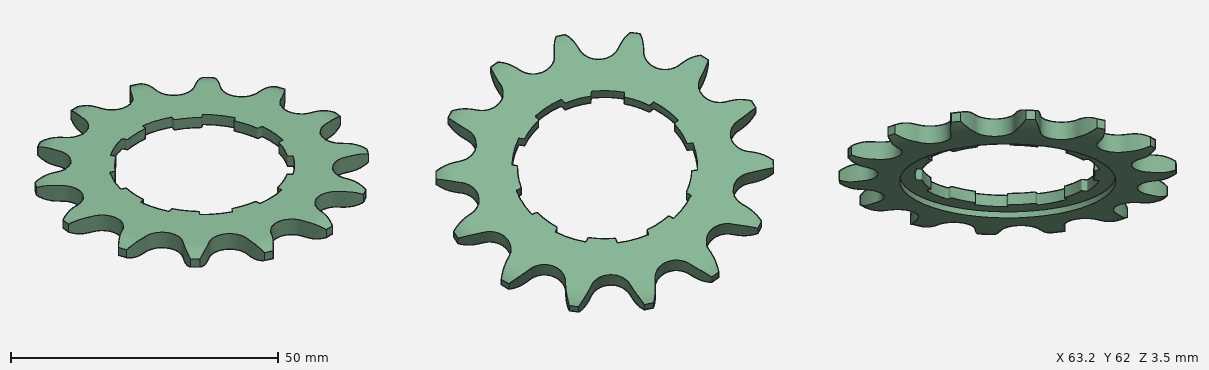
import cadquery as cq
import math

thickness = 3.5
tip_radius = 31.6

tooth_count = 14
root_radius = 24.55
seat_radius = 4.0
seat_end_radius = 27.25
tip_half_width = 0.9
flank_radius = 16.75

crown_start_radius = 28.4
tip_thickness = 1.8

spline_count = 9
bore_radius = 16.3
spline_radius = 17.4
spline_width = 6.2
spline_corner_radius = 0.2
recess_radius = 20.25
recess_depth = 1.2

tooth_pitch = 360 / tooth_count
seat_center_radius = root_radius + seat_radius
tip_corner_radius = math.hypot(tip_radius, tip_half_width)


def polar(radius, degrees):
    angle = math.radians(degrees)
    return (radius * math.cos(angle), radius * math.sin(angle))


def seat_end_angle():
    """Angle from the tooth centreline to the junction of seat and flank."""
    cos_from_seat = (seat_center_radius**2 + seat_end_radius**2 - seat_radius**2) / (
        2 * seat_center_radius * seat_end_radius
    )
    return tooth_pitch / 2 - math.degrees(math.acos(cos_from_seat))


def toothed_plate():
    tip_corner_angle = math.degrees(math.atan2(tip_half_width, tip_radius))
    junction_angle = seat_end_angle()

    outline = cq.Workplane("XY").moveTo(tip_radius, -tip_half_width)
    for tooth in range(tooth_count):
        this_tooth = tooth * tooth_pitch
        next_tooth = this_tooth + tooth_pitch
        seat_bottom = polar(root_radius, this_tooth + tooth_pitch / 2)
        outline = (
            outline.lineTo(*polar(tip_corner_radius, this_tooth + tip_corner_angle))
            .radiusArc(polar(seat_end_radius, this_tooth + junction_angle), -flank_radius)
            .threePointArc(seat_bottom, polar(seat_end_radius, next_tooth - junction_angle))
            .radiusArc(polar(tip_corner_radius, next_tooth - tip_corner_angle), -flank_radius)
        )
    return outline.close().extrude(thickness / 2, both=True)


def crowned_disc():
    """Disc whose rim narrows along arcs tangent to the flat faces."""
    upper_half = (
        cq.Workplane("XZ")
        .lineTo(0, thickness / 2)
        .lineTo(crown_start_radius, thickness / 2)
        .tangentArcPoint((tip_corner_radius, tip_thickness / 2), relative=False)
        .lineTo(tip_corner_radius, 0)
        .close()
        .revolve(360, (0, 0, 0), (0, 1, 0))
    )
    return upper_half.union(upper_half.mirror("XY"))


def splined_bore():
    round_bore = cq.Workplane("XY").circle(bore_radius).extrude(thickness / 2, both=True)
    spline_limit = cq.Workplane("XY").circle(spline_radius).extrude(thickness / 2, both=True)
    spline_blocks = (
        cq.Workplane("XY")
        .polarArray(spline_radius, 0, 360, spline_count)
        .rect(spline_width, spline_width)
        .extrude(thickness / 2, both=True)
    )
    bore = round_bore.union(spline_blocks.intersect(spline_limit))
    return bore.edges("|Z").fillet(spline_corner_radius)


def lower_recess():
    return cq.Workplane("XY").workplane(offset=-thickness / 2).circle(recess_radius).extrude(recess_depth)


result = toothed_plate().intersect(crowned_disc()).cut(splined_bore()).cut(lower_recess())